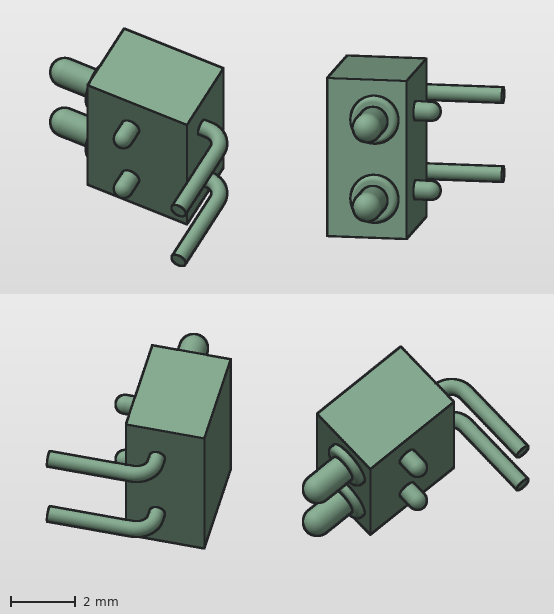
import cadquery as cq
import math

overall_length = 6.3

housing_length = 3.45
housing_depth = 2.5
housing_height = 5.0
peg_diameter = 0.6
peg_length = 0.8
peg_setback = 1.5

pin_pitch = housing_height / 2
pin_axis_inset = 1.0
plunger_reach = 1.75
plunger_diameter = 0.9
collar_diameter = 1.5
collar_land_diameter = 1.2
collar_thickness = 0.25
tail_diameter = 0.5
bend_radius = 0.6
tail_reach = 2.25

tail_axis_x = overall_length - plunger_reach - tail_diameter / 2

pin_heights = [-pin_pitch / 2, pin_pitch / 2]


def make_round_nosed_profile(plane, length, radius):
    """Half section of a rod along the plane's local x, with a hemispherical end."""
    nose_start = length - radius
    diagonal = radius * math.sqrt(0.5)
    return (
        cq.Workplane(plane)
        .lineTo(0, radius)
        .lineTo(nose_start, radius)
        .threePointArc((nose_start + diagonal, diagonal), (length, 0))
        .close()
    )


def make_round_nosed_rod(origin, direction, length, diameter):
    plane = cq.Plane(origin=origin, xDir=direction, normal=(0, 0, 1))
    profile = make_round_nosed_profile(plane, length, diameter / 2)
    return profile.revolve(360, (0, 0), (1, 0))


def make_pin(height):
    """One contact pin, with its straight shank running through the housing."""
    collar_seat = (0, pin_axis_inset, height)
    plunger = make_round_nosed_rod(collar_seat, (-1, 0, 0), plunger_reach, plunger_diameter)

    rim_radius = (collar_diameter - collar_land_diameter) / 2
    collar = (
        cq.Workplane("YZ", origin=collar_seat)
        .circle(collar_diameter / 2)
        .extrude(-collar_thickness)
        .faces("<X")
        .edges()
        .fillet(rim_radius)
    )

    bend_start = tail_axis_x - bend_radius
    bend_end_y = pin_axis_inset - bend_radius
    bend_diagonal = bend_radius * math.sqrt(0.5)
    tail_path = (
        cq.Workplane("XY", origin=(0, 0, height))
        .moveTo(0, pin_axis_inset)
        .lineTo(bend_start, pin_axis_inset)
        .threePointArc(
            (bend_start + bend_diagonal, bend_end_y + bend_diagonal),
            (tail_axis_x, bend_end_y),
        )
        .lineTo(tail_axis_x, -tail_reach)
    )
    tail = cq.Workplane("YZ", origin=collar_seat).circle(tail_diameter / 2).sweep(tail_path)

    return plunger.union(collar).union(tail).solids()


def make_housing():
    """Block with one peg and one through bore at each pin height."""
    housing = cq.Workplane("XY").box(
        housing_length, housing_depth, housing_height, centered=(False, False, True)
    )
    for height in pin_heights:
        peg = make_round_nosed_rod((peg_setback, 0, height), (0, -1, 0), peg_length, peg_diameter)
        bore = (
            cq.Workplane("YZ", origin=(0, pin_axis_inset, height))
            .circle(tail_diameter / 2)
            .extrude(housing_length)
        )
        housing = housing.union(peg).cut(bore)
    return housing.solids()


housing = make_housing()
pins = [make_pin(height) for height in pin_heights]

result = cq.Compound.makeCompound([housing.val(), *[pin.val() for pin in pins]])